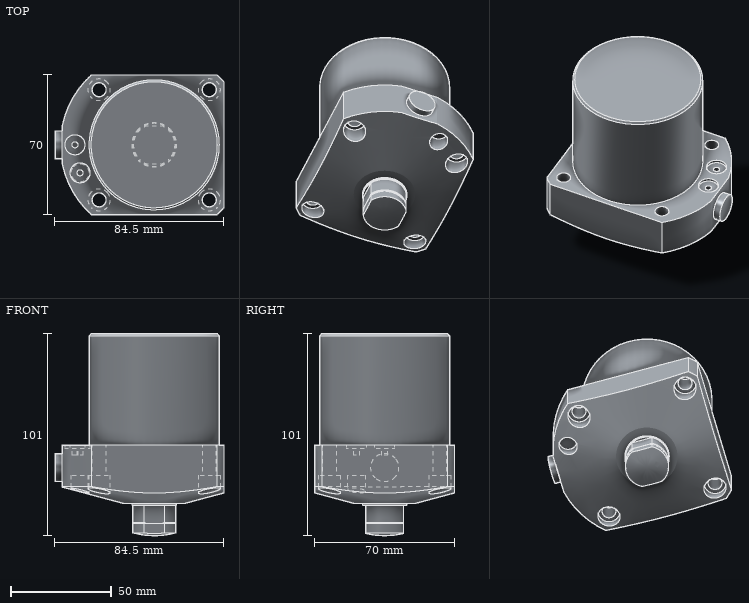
import cadquery as cq
import math


BARREL_RADIUS = 32.5
BARREL_HEIGHT = 55.7
BARREL_CHAMFER = 1.0
FLANGE_WIDTH = 70.0
FLANGE_LEFT = 46.0
FLANGE_CORNER_RADIUS = 47.0
FLANGE_THICKNESS = 29.2
CONE_SMALL_RADIUS = 15.4
CONE_ANGLE = 15.0

SCREW_PITCH = 55.0
SCREW_HOLE_DIAMETER = 6.9
COUNTERBORE_DIAMETER = 11.0
COUNTERBORE_CEILING = 15.2

PORT_CIRCLE_RADIUS = 39.6
PORT_ANGLES = (180.0, 200.7)
SEAL_DIAMETER = 10.0
SEAL_DEPTH = 1.6
ORIFICE_DIAMETER = 3.0
ORIFICE_DEPTH = 5.0
LOWER_PORT_DIAMETER = 9.0
LOWER_PORT_CEILING = 15.2

PLUG_DIAMETER = 14.0
PLUG_LENGTH = 3.5
PLUG_DROP = 11.2

PLUNGER_RADIUS = 10.8
PLUNGER_FLATS = 19.0
COLLAR_RADIUS = 11.1
COLLAR_HEIGHT = 1.0
COLLAR_CHAMFER = 0.3
PLUNGER_END_CHAMFER = 0.5
TIP_TOP = 39.1
TIP_EDGE = 43.8
TIP_END = 45.3


def disc(radius, bottom, top):
    """Round bar on the Z axis between two heights."""
    return cq.Workplane("XY").workplane(offset=bottom).circle(radius).extrude(top - bottom)


def bore(diameter, points, bottom, top):
    """Vertical cylinders at the given points, used as cutting tools."""
    tool = cq.Workplane("XY").workplane(offset=bottom)
    return tool.pushPoints(points).circle(diameter / 2).extrude(top - bottom)


def flange():
    """Square plate with round corners and one extended side, tapered to a cone below."""
    half_width = FLANGE_WIDTH / 2
    cone_run = FLANGE_CORNER_RADIUS - CONE_SMALL_RADIUS
    cone_height = cone_run * math.tan(math.radians(CONE_ANGLE))
    turned = (
        cq.Workplane("XZ")
        .polyline([
            (0, 0),
            (-FLANGE_CORNER_RADIUS, 0),
            (-FLANGE_CORNER_RADIUS, cone_height - FLANGE_THICKNESS),
            (-CONE_SMALL_RADIUS, -FLANGE_THICKNESS),
            (0, -FLANGE_THICKNESS),
        ])
        .close()
        .revolve(360, (0, 0, 0), (0, 1, 0))
    )
    block = cq.Workplane("XY").box(
        FLANGE_LEFT + half_width, FLANGE_WIDTH, FLANGE_THICKNESS, centered=(False, True, False)
    )
    return turned.intersect(block.translate((-FLANGE_LEFT, 0, -FLANGE_THICKNESS)))


def make_housing():
    barrel = disc(BARREL_RADIUS, 0, BARREL_HEIGHT).faces(">Z").chamfer(BARREL_CHAMFER)
    body = flange().union(barrel)

    half_pitch = SCREW_PITCH / 2
    screws = [(x, y) for x in (-half_pitch, half_pitch) for y in (-half_pitch, half_pitch)]
    body = body.cut(bore(SCREW_HOLE_DIAMETER, screws, -FLANGE_THICKNESS, 0))
    body = body.cut(bore(COUNTERBORE_DIAMETER, screws, -FLANGE_THICKNESS, -COUNTERBORE_CEILING))

    ports = [
        (PORT_CIRCLE_RADIUS * math.cos(math.radians(a)), PORT_CIRCLE_RADIUS * math.sin(math.radians(a)))
        for a in PORT_ANGLES
    ]
    body = body.cut(bore(SEAL_DIAMETER, ports, -SEAL_DEPTH, 0))
    body = body.cut(bore(ORIFICE_DIAMETER, ports, -ORIFICE_DEPTH, 0))
    return body.cut(bore(LOWER_PORT_DIAMETER, ports[1:], -FLANGE_THICKNESS, -LOWER_PORT_CEILING))


def make_plug():
    """Short round plug seated on the flat left face of the flange."""
    return (
        cq.Workplane("YZ", origin=(-FLANGE_LEFT, 0, -PLUG_DROP))
        .circle(PLUG_DIAMETER / 2)
        .extrude(-PLUG_LENGTH)
    )


def flats_block(bottom, top):
    """Slab whose two Y faces are the wrench flats."""
    slab = cq.Workplane("XY").workplane(offset=bottom)
    return slab.rect(2 * COLLAR_RADIUS, PLUNGER_FLATS).extrude(top - bottom)


def make_plunger():
    """Collar against the cone face, then a stem with two wrench flats and a chamfered end."""
    collar_bottom = -FLANGE_THICKNESS - COLLAR_HEIGHT
    collar = disc(COLLAR_RADIUS, collar_bottom, -FLANGE_THICKNESS).faces("<Z").chamfer(COLLAR_CHAMFER)
    stem = disc(PLUNGER_RADIUS, -TIP_TOP, collar_bottom).faces("<Z").chamfer(PLUNGER_END_CHAMFER)
    return collar.union(stem.intersect(flats_block(-TIP_TOP, collar_bottom)))


def make_tip():
    """Contact tip with a shallow spherical end and the same wrench flats as the plunger."""
    sagitta = TIP_END - TIP_EDGE
    dome_radius = (PLUNGER_RADIUS ** 2 + sagitta ** 2) / (2 * sagitta)
    dome = cq.Workplane("XY").sphere(dome_radius).translate((0, 0, dome_radius - TIP_END))
    blank = disc(PLUNGER_RADIUS, -TIP_END, -TIP_TOP).intersect(dome)
    return blank.intersect(flats_block(-TIP_END, -TIP_TOP))


housing = make_housing()
plug = make_plug()
plunger = make_plunger()
tip = make_tip()

result = cq.Compound.makeCompound([housing.val(), plug.val(), plunger.val(), tip.val()])